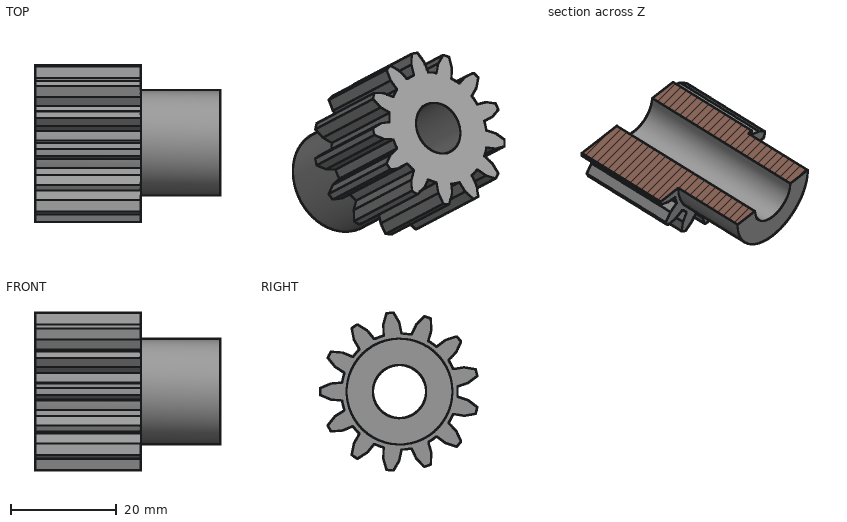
import cadquery as cq
import math

total_length = 35.0
face_width = total_length * 4 / 7
tooth_count = 13
tip_radius = total_length * 3 / 7
root_radius = tip_radius * 11 / 15
hub_radius = tip_radius * 2 / 3
bore_radius = tip_radius / 3

tip_half_width = 0.65
flank_radius = 13.05
flank_half_width = 1.55
root_half_width = 1.7


def polar(radius, angle):
    return (radius * math.cos(angle), radius * math.sin(angle))


def gear_outline():
    """Closed tooth outline on the YZ plane, with one tooth centred on -Y."""
    pitch_angle = 2 * math.pi / tooth_count
    tip_angle = math.asin(tip_half_width / tip_radius)
    flank_angle = math.asin(flank_half_width / flank_radius)
    root_angle = math.asin(root_half_width / root_radius)

    outline = cq.Workplane("YZ").moveTo(*polar(root_radius, math.pi - root_angle))
    for tooth in range(tooth_count):
        centre = math.pi + tooth * pitch_angle
        next_centre = centre + pitch_angle
        outline = outline.lineTo(*polar(flank_radius, centre - flank_angle))
        outline = outline.lineTo(*polar(tip_radius, centre - tip_angle))
        outline = outline.threePointArc(
            polar(tip_radius, centre), polar(tip_radius, centre + tip_angle)
        )
        outline = outline.lineTo(*polar(flank_radius, centre + flank_angle))
        outline = outline.lineTo(*polar(root_radius, centre + root_angle))
        outline = outline.threePointArc(
            polar(root_radius, centre + pitch_angle / 2),
            polar(root_radius, next_centre - root_angle),
        )
    return outline.close()


gear = gear_outline().extrude(face_width)
hub = cq.Workplane("YZ").circle(hub_radius).extrude(total_length)
bore = cq.Workplane("YZ").circle(bore_radius).extrude(total_length)

result = gear.union(hub).cut(bore)